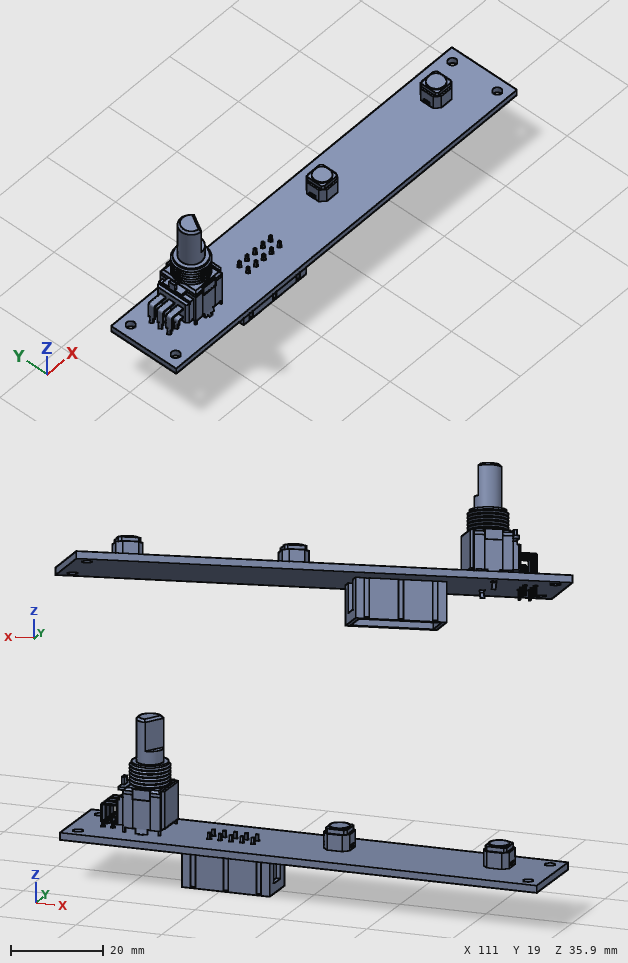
import cadquery as cq

board_length = 111.0
board_width = 19.0
board_thickness = 1.7
mount_hole_diameter = 2.2
mount_hole_x = 52.4
mount_hole_y = 6.5
lead_hole_diameter = 1.0

header_x = -18.5
header_y = -0.7
header_length = 20.4
header_width = 9.1
header_height = 9.0
header_wall = 1.0
header_floor = 2.5
header_pitch = 2.5
header_columns = 5
header_rows = 2
header_pin_size = 0.5
header_pin_top = 3.0
header_pin_bottom = -7.8
header_window_width = 3.9
header_window_depth = 6.7
header_groove_width = 1.1
header_groove_depth = 0.2
header_groove_end = 0.3
header_groove_spacing = 7.7
header_groove_columns = 3

switch_xs = (5.1, 42.3)
switch_y = 2.2
switch_size = 6.0
switch_height = 3.7
switch_corner = 1.2
ear_reach = 0.3
ear_width = 1.7
ear_height = 0.7
ear_bottom = 0.4
plunger_size = 5.0
plunger_corner = 0.5
plunger_height = 1.0
plunger_disc_diameter = 4.5
plunger_disc_height = 0.3

pot_x = -38.6
pot_y = 1.2
pot_length = 8.7
pot_width = 10.4
pot_bottom = 2.7
foot_size = 0.4

drum_diameter = 10.0
drum_bottom = 9.3

side_plate_bottom = 3.0
side_plate_corner = 0.5
terminal_block_reach = 5.4
terminal_plate_reach = 6.3
terminal_plate_top = 8.7
terminal_side_width = 9.1
rear_plate_reach = 5.0
rear_plate_top = 11.5
rear_plate_width = 9.3

terminal_pitch = 2.5
terminal_thickness = 0.3
terminal_width = 1.7
terminal_leg_width = 0.9
terminal_leg_top = 2.9
terminal_bottom = -2.1
terminal_bend_radius = 0.5
terminal_rows = ((10.0, 7.1), (7.7, 4.4))

cover_bottom = 10.3
cover_top = 11.7
cover_bevel = 0.5
strap_width = 4.0
strap_thickness = 0.3
strap_lip = 0.2
strap_lip_bottom = 9.3
tongue_width = 5.5
tongue_thickness = 0.7
tab_width = 1.7
tab_thickness = 0.7
tab_top = 12.7

clip_top_y = 4.9
clip_bulge_y = 5.5
clip_bulge_z = -0.3
clip_tip_y = 4.9
clip_bottom = -1.7
clip_thickness = 0.3
clip_width = 0.9
clip_shoulder_width = 2.8
clip_slot_width = 1.0
clip_slot_inner = 4.7
clip_slot_outer = 5.9

bushing_diameter = 9.0
bushing_root_diameter = 8.1
bushing_top = 16.8
thread_pitch = 0.8
thread_count = 6

shaft_diameter = 6.0
shaft_top = 26.9
shaft_chamfer = 0.5
flat_bottom = 19.8
flat_offset = shaft_diameter / 4
flat_angle = -30.0


def block(x_min, x_max, y_min, y_max, z_min, z_max):
    """Box between the given limits."""
    return (
        cq.Workplane("XY", origin=((x_min + x_max) / 2, (y_min + y_max) / 2, z_min))
        .box(x_max - x_min, y_max - y_min, z_max - z_min, centered=(True, True, False))
    )


def centred_block(x_min, x_max, width, z_min, z_max):
    """Box that is centred across Y."""
    return block(x_min, x_max, -width / 2, width / 2, z_min, z_max)


def disc(diameter, z_min, z_max):
    """Upright cylinder on the Z axis."""
    return cq.Workplane("XY", origin=(0, 0, z_min)).circle(diameter / 2).extrude(z_max - z_min)


header_pin_points = [
    (
        header_x + (column - (header_columns - 1) / 2) * header_pitch,
        header_y + (row - (header_rows - 1) / 2) * header_pitch,
    )
    for column in range(header_columns)
    for row in range(header_rows)
]
terminal_ys = [-terminal_pitch, 0.0, terminal_pitch]
terminal_hole_points = [
    (pot_x - reach, pot_y + y) for reach, top in terminal_rows for y in terminal_ys
]


def make_board():
    """Board with mounting holes, lead holes and slots for the potentiometer's clips."""
    board = centred_block(-board_length / 2, board_length / 2, board_width, 0, board_thickness)
    mount_holes = (
        cq.Workplane("XY")
        .rect(2 * mount_hole_x, 2 * mount_hole_y, forConstruction=True)
        .vertices()
        .circle(mount_hole_diameter / 2)
        .extrude(board_thickness)
    )
    lead_holes = (
        cq.Workplane("XY")
        .pushPoints(header_pin_points + terminal_hole_points)
        .circle(lead_hole_diameter / 2)
        .extrude(board_thickness)
    )
    slot_middle = (clip_slot_inner + clip_slot_outer) / 2
    clip_slots = (
        cq.Workplane("XY")
        .pushPoints([(pot_x, pot_y - slot_middle), (pot_x, pot_y + slot_middle)])
        .rect(clip_slot_width, clip_slot_outer - clip_slot_inner)
        .extrude(board_thickness)
    )
    return board.cut(mount_holes).cut(lead_holes).cut(clip_slots)


def make_header():
    """Box header hanging below the board, open downward, with its pins."""
    half_length = header_length / 2
    shell = centred_block(-half_length, half_length, header_width, -header_height, 0)
    cavity = centred_block(
        header_wall - half_length, half_length - header_wall,
        header_width - 2 * header_wall, -header_height, -header_floor,
    )
    shell = shell.cut(cavity)

    for x in (-half_length, half_length - header_wall):
        window = centred_block(x, x + header_wall, header_window_width, -header_window_depth, 0)
        shell = shell.cut(window)

    grooves = (
        cq.Workplane("XY", origin=(0, 0, header_groove_end - header_height))
        .rarray(header_groove_spacing, header_width, header_groove_columns, 2)
        .rect(header_groove_width, 2 * header_groove_depth)
        .extrude(header_height - header_groove_end)
    )
    shell = shell.cut(grooves).translate((header_x, header_y, 0))

    pins = (
        cq.Workplane("XY", origin=(0, 0, header_pin_bottom))
        .pushPoints(header_pin_points)
        .rect(header_pin_size, header_pin_size)
        .extrude(header_pin_top - header_pin_bottom)
    )
    return shell.union(pins)


def make_switch_housing(x):
    """Square switch housing with cut corners and a small ear on two sides."""
    half = switch_size / 2
    housing = centred_block(-half, half, switch_size, 0, switch_height)
    housing = housing.edges("|Z").chamfer(switch_corner)
    ear_span = half + ear_reach
    ears = centred_block(-ear_span, ear_span, ear_width, ear_bottom, ear_bottom + ear_height)
    return housing.union(ears).translate((x, switch_y, board_thickness))


def make_switch_plunger(x):
    """Square plunger on top of a switch housing, with a round pad."""
    half = plunger_size / 2
    plunger = centred_block(-half, half, plunger_size, 0, plunger_height)
    plunger = plunger.edges("|Z").chamfer(plunger_corner)
    plunger = plunger.union(
        disc(plunger_disc_diameter, plunger_height, plunger_height + plunger_disc_height)
    )
    return plunger.translate((x, switch_y, board_thickness + switch_height))


def make_terminal(reach, top, y):
    """Bent strip: level out of the terminal plate, then down through the board."""
    outer_x = -reach - terminal_thickness / 2
    inner_x = outer_x + terminal_thickness
    arm_bottom = top - terminal_thickness
    arm = centred_block(outer_x, -terminal_plate_reach, terminal_width, arm_bottom, top)
    upper_leg = centred_block(outer_x, inner_x, terminal_width, terminal_leg_top, top)
    lower_leg = centred_block(outer_x, inner_x, terminal_leg_width, terminal_bottom, terminal_leg_top)
    strip = arm.union(upper_leg)
    inner_corner = cq.NearestToPointSelector((inner_x, 0, arm_bottom))
    strip = strip.edges("|Y").edges(inner_corner).fillet(terminal_bend_radius - terminal_thickness)
    outer_corner = cq.NearestToPointSelector((outer_x, 0, top))
    strip = strip.edges("|Y").edges(outer_corner).fillet(terminal_bend_radius)
    strip = strip.union(lower_leg)
    return strip.translate((0, y, 0))


def make_clip(side):
    """Board clip at the foot of a strap, bulging outward where it passes through the board."""
    def leg(width):
        return (
            cq.Workplane("YZ", origin=(-width / 2, 0, 0))
            .moveTo(side * clip_top_y, pot_bottom)
            .lineTo(side * clip_bulge_y, clip_bulge_z)
            .lineTo(side * clip_tip_y, clip_bottom)
            .lineTo(side * (clip_tip_y + clip_thickness), clip_bottom)
            .lineTo(side * (clip_bulge_y + clip_thickness), clip_bulge_z)
            .lineTo(side * (clip_top_y + clip_thickness), pot_bottom)
            .close()
            .extrude(width)
        )

    shoulder_limits = block(
        -strap_width, strap_width, -pot_width, pot_width, board_thickness, pot_bottom
    )
    return leg(clip_width).union(leg(clip_shoulder_width).intersect(shoulder_limits))


def make_pot_cover():
    """Metal cover: top plate, threaded bushing, locating tab, side straps and board clips."""
    half_length = pot_length / 2
    plate = centred_block(-half_length, half_length, pot_width, cover_bottom, cover_top)
    plate = plate.faces(">Z").edges().chamfer(cover_bevel)

    tongue = centred_block(
        -terminal_plate_reach, 0, tongue_width, cover_bottom, cover_bottom + tongue_thickness
    )
    tab = centred_block(
        -terminal_plate_reach, tab_thickness - terminal_plate_reach, tab_width, cover_bottom, tab_top
    )
    cover = plate.union(tongue).union(tab)

    half_width = pot_width / 2
    for side in (-1, 1):
        inner_y = half_width - strap_thickness
        strap_middle = side * (half_width - strap_thickness / 2)
        strap = centred_block(
            -strap_width / 2, strap_width / 2, strap_thickness, pot_bottom, cover_top
        ).translate((0, strap_middle, 0))
        lip_thickness = half_width + strap_lip - inner_y
        lip = centred_block(
            -strap_width / 2, strap_width / 2, lip_thickness, strap_lip_bottom, cover_top
        ).translate((0, side * (inner_y + lip_thickness / 2), 0))
        cover = cover.union(strap).union(lip).union(make_clip(side))

    cover = cover.union(disc(bushing_root_diameter, cover_bottom, bushing_top))
    root_radius = bushing_root_diameter / 2
    crest_profile = [
        (0, 0),
        (root_radius, 0),
        (bushing_diameter / 2, thread_pitch / 2),
        (root_radius, thread_pitch),
        (0, thread_pitch),
    ]
    crest = cq.Workplane("XZ").polyline(crest_profile).close().revolve(360, (0, 0, 0), (0, 1, 0))
    for index in range(thread_count):
        cover = cover.union(crest.translate((0, 0, cover_top + index * thread_pitch)))

    return cover.cut(disc(shaft_diameter, cover_bottom, bushing_top))


def make_pot_housing():
    """Plastic housing with feet, drum, terminal block, rear plate and six terminals."""
    half_length = pot_length / 2
    housing = centred_block(-half_length, half_length, pot_width, pot_bottom, cover_bottom)
    strap_recesses = (
        cq.Workplane("XY", origin=(0, 0, pot_bottom))
        .rarray(1.1, pot_width, 1, 2)
        .rect(strap_width, 2 * strap_thickness)
        .extrude(cover_bottom - pot_bottom)
    )
    housing = housing.cut(strap_recesses)

    feet = (
        cq.Workplane("XY", origin=(0, 0, board_thickness))
        .rarray(pot_length - foot_size, pot_width - foot_size, 2, 2)
        .rect(foot_size, foot_size)
        .extrude(pot_bottom - board_thickness)
    )
    drum_limits = centred_block(-drum_diameter, 0, terminal_side_width, drum_bottom, cover_bottom)
    drum = disc(drum_diameter, drum_bottom, cover_bottom).intersect(drum_limits)

    terminal_block = centred_block(
        -terminal_block_reach, -half_length, terminal_side_width, side_plate_bottom, drum_bottom
    )
    terminal_plate = (
        centred_block(
            -terminal_plate_reach, -terminal_block_reach, terminal_side_width,
            side_plate_bottom, terminal_plate_top,
        )
        .edges("|Z and <X")
        .chamfer(side_plate_corner)
    )
    rear_plate = (
        centred_block(half_length, rear_plate_reach, rear_plate_width, side_plate_bottom, rear_plate_top)
        .edges("|Z and >X")
        .chamfer(side_plate_corner)
    )
    for piece in (feet, drum, terminal_block, terminal_plate, rear_plate):
        housing = housing.union(piece)

    for reach, top in terminal_rows:
        for y in terminal_ys:
            housing = housing.union(make_terminal(reach, top, y))
    return housing


def make_shaft():
    """Round shaft with a flat on its upper end."""
    shaft = disc(shaft_diameter, cover_bottom, shaft_top)
    flat_cut = centred_block(flat_offset, shaft_diameter, shaft_diameter, flat_bottom, shaft_top)
    shaft = shaft.cut(flat_cut.rotate((0, 0, 0), (0, 0, 1), flat_angle))
    return shaft.faces(">Z").edges().chamfer(shaft_chamfer)


pot_place = (pot_x, pot_y, 0)
board = make_board()
header = make_header()
switch_housings = [make_switch_housing(x) for x in switch_xs]
switch_plungers = [make_switch_plunger(x) for x in switch_xs]
pot_housing = make_pot_housing().translate(pot_place)
pot_cover = make_pot_cover().translate(pot_place)
pot_shaft = make_shaft().translate(pot_place)

result = cq.Compound.makeCompound(
    [board.val(), header.val(), pot_housing.val(), pot_cover.val(), pot_shaft.val()]
    + [housing.val() for housing in switch_housings]
    + [plunger.val() for plunger in switch_plungers]
)